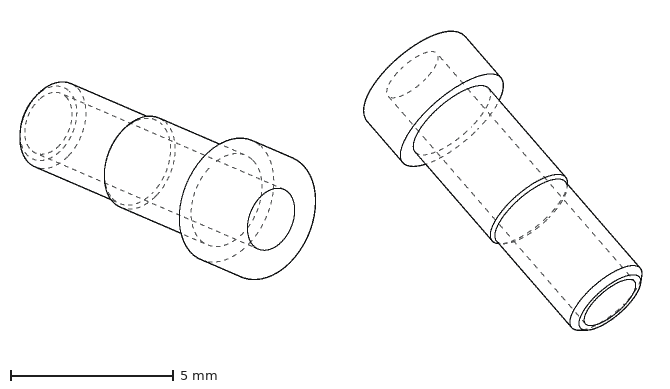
import cadquery as cq


tip_diameter = 2.8
shank_diameter = 3.0
head_diameter = 4.0
bore_diameter = 2.0

tip_length = 4.0
shank_length = 4.0
head_length = 2.0
overall_length = tip_length + shank_length + head_length

tip_chamfer = 0.2
shank_chamfer = (shank_diameter - tip_diameter) / 2
head_fillet = 0.2


def cylinder(diameter, start, length):
    """Solid cylinder along +X, beginning at the given X position."""
    return cq.Workplane("YZ").workplane(offset=start).circle(diameter / 2).extrude(length)


def make_bushing():
    """Stepped bushing with a headed end and a plain through bore."""
    tip = cylinder(tip_diameter, 0, tip_length).faces("<X").chamfer(tip_chamfer)
    shank = cylinder(shank_diameter, tip_length, shank_length).faces("<X").chamfer(shank_chamfer)
    head = cylinder(head_diameter, tip_length + shank_length, head_length)
    head = head.faces(">X").edges().fillet(head_fillet)
    bore = cylinder(bore_diameter, 0, overall_length)
    return tip.union(shank).union(head).cut(bore)


bushing = make_bushing()

result = cq.Compound.makeCompound([bushing.solids().val()])